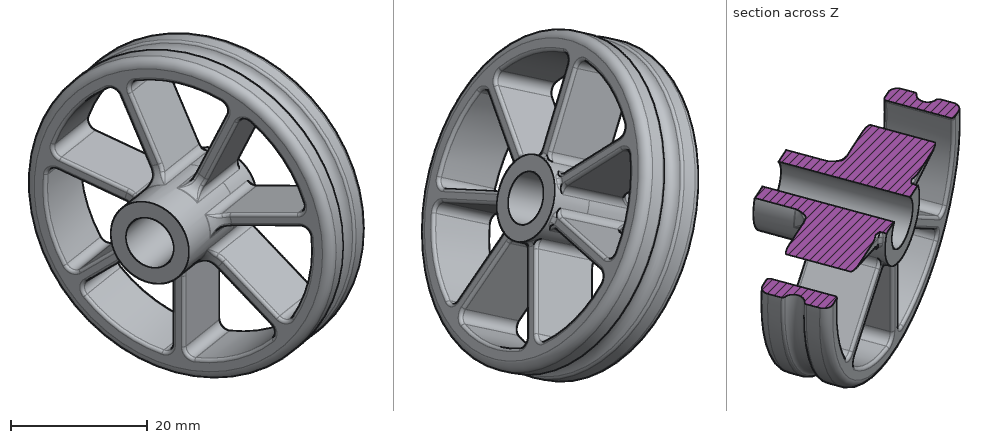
import cadquery as cq
import math


rim_radius = 25.4
rim_width = 11.2
rim_edge_radius = 1.45

groove_radius = 1.65
groove_depth = 1.4
groove_lip_radius = 0.5

hub_radius = 6.5
bore_radius = 3.95
hub_front_length = 8.7
hub_back_length = 1.0

spoke_count = 7
spoke_width = 2.05
opening_radius = 22.0
opening_corner_radius = 1.45
spoke_edge_radius = 0.5

front_blend_radius = 2.45
back_blend_radius = 0.55
front_blend_sweep = math.radians(84)
root_radius = 5.85
opening_overlap = 0.01

front_face = -rim_width / 2
back_face = rim_width / 2
hub_front = front_face - hub_front_length
hub_back = back_face + hub_back_length
spoke_pitch = 360 / spoke_count
match_tolerance = 0.0005
axis_start = (0, 0, 0)
axis_end = (0, 1, 0)


def around_axis(shape, index):
    """Turn a shape about the wheel axis by a number of spoke pitches."""
    return shape.rotate(axis_start, axis_end, index * spoke_pitch)


def make_disc():
    """Grooved disc with a concave blend that rises towards the hub on its front face."""
    lip_center = rim_radius - groove_lip_radius
    groove_center = rim_radius - groove_depth + groove_radius
    center_distance = groove_radius + groove_lip_radius
    lip_offset = math.sqrt(center_distance**2 - (groove_center - lip_center) ** 2)
    groove_share = groove_radius / center_distance
    joint_radius = groove_center - (groove_center - lip_center) * groove_share
    joint_offset = lip_offset * groove_share

    blend_start = hub_radius + front_blend_radius
    blend_end_radius = blend_start - front_blend_radius * math.sin(front_blend_sweep)
    blend_end_y = front_face - front_blend_radius * (1 - math.cos(front_blend_sweep))
    root_y = blend_end_y - (blend_end_radius - root_radius) * math.tan(front_blend_sweep)

    flat_end = rim_radius - rim_edge_radius
    outline = (
        cq.Workplane("XY")
        .moveTo(root_radius, back_face)
        .lineTo(root_radius, root_y)
        .lineTo(blend_end_radius, blend_end_y)
        .tangentArcPoint((blend_start, front_face), relative=False)
        .lineTo(flat_end, front_face)
        .tangentArcPoint((rim_radius, front_face + rim_edge_radius), relative=False)
        .lineTo(rim_radius, -lip_offset)
        .tangentArcPoint((joint_radius, -joint_offset), relative=False)
        .threePointArc((rim_radius - groove_depth, 0), (joint_radius, joint_offset))
        .tangentArcPoint((rim_radius, lip_offset), relative=False)
        .lineTo(rim_radius, back_face - rim_edge_radius)
        .tangentArcPoint((flat_end, back_face), relative=False)
        .close()
    )
    return outline.revolve(360, axis_start, axis_end)


def make_opening():
    """Round-cornered prism that clears the space between two neighbouring spokes."""
    depth = hub_back - hub_front
    back_plane = cq.Workplane("XZ", origin=(0, hub_back, 0))
    ring = back_plane.circle(opening_radius).circle(hub_radius - opening_overlap).extrude(depth)

    half_pitch = math.radians(spoke_pitch / 2)
    apex_z = spoke_width / 2 / math.sin(half_pitch)
    half_base = rim_radius * math.tan(half_pitch)
    base_z = apex_z + rim_radius
    corners = [(0, apex_z), (-half_base, base_z), (half_base, base_z)]
    wedge = back_plane.polyline(corners).close().extrude(depth)
    return ring.intersect(wedge).edges("|Y").fillet(opening_corner_radius)


def make_spoked_wheel():
    """Disc with the openings cut out and their edges rounded on both faces."""
    wheel = make_disc()
    opening = make_opening()
    for index in range(spoke_count):
        wheel = wheel.cut(around_axis(opening, index))
    outer_arcs = wheel.edges("%CIRCLE").filter(
        lambda edge: abs(edge.radius() - opening_radius) < match_tolerance
    )
    return outer_arcs.fillet(spoke_edge_radius)


def make_back_blends():
    """Back part of the hub, with small blends around the rounded spoke ends."""
    collar = cq.Workplane("XZ").circle(hub_radius).extrude(-hub_back)
    bar_length = hub_radius + 2 * back_blend_radius
    bar = (
        cq.Workplane("XY")
        .box(spoke_width, back_face, bar_length, centered=(True, False, False))
        .edges(">Y and |Z")
        .fillet(spoke_edge_radius)
        .rotate(axis_start, axis_end, 180)
    )
    for index in range(spoke_count):
        collar = collar.union(around_axis(bar, index))
    spoke_ends = collar.edges("%CIRCLE").filter(
        lambda edge: abs(edge.Center().y - back_face) < match_tolerance
    )
    return spoke_ends.fillet(back_blend_radius)


def hub_cylinder(radius):
    """Cylinder on the wheel axis, as long as the hub."""
    return cq.Workplane("XZ", origin=(0, hub_back, 0)).circle(radius).extrude(hub_back - hub_front)


result = (
    make_spoked_wheel()
    .union(make_back_blends())
    .union(hub_cylinder(hub_radius))
    .cut(hub_cylinder(bore_radius))
)